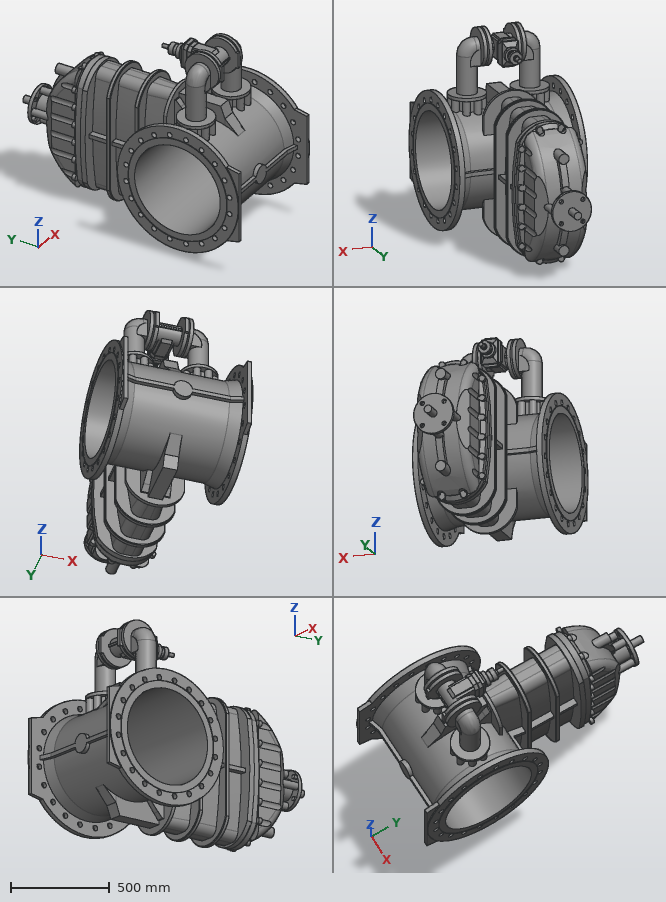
import cadquery as cq
import math


FACE_TO_FACE = 700
BORE_DIA = 508
RAISED_FACE_DIA = 585
RAISED_FACE_HEIGHT = 4
FLANGE_DIA = 715
FLANGE_THICKNESS = 29
BOLT_CIRCLE_DIA = 620
BOLT_HOLE_DIA = 28
BOLT_COUNT = 20
PIPE_OUTER_RADIUS = 263.5
PIPE_END_RADIUS = 281
PIPE_STRAIGHT_HALF = 251
FLANGE_OUTSIDE_X = FACE_TO_FACE / 2 - RAISED_FACE_HEIGHT
FLANGE_INSIDE_X = FLANGE_OUTSIDE_X - FLANGE_THICKNESS

FOOT_THICKNESS = 22
FOOT_HALF_HEIGHT = 201
FOOT_ROOT_HALF_HEIGHT = 217
FOOT_ROOT_Y = -284
PAD_DIA = 100
WEB_REACH = 284
WEB_THICKNESS = 22
WEB_END_REACH = WEB_REACH + PIPE_END_RADIUS - PIPE_OUTER_RADIUS

CHAMBER_HALF_HEIGHT = 356
CHAMBER_HALF_WIDTH = 106
CHAMBER_SHOULDER_X = 78
CHAMBER_SHOULDER_Z = 310
CHAMBER_FLAT_HALF = 24
CHAMBER_WEB_HALF = 141
CHAMBER_WEB_ROOT_HALF = 130
RIB_Y = (192, 359.5, 527)
NARROW_RIB_Y = RIB_Y[0]
STRAIGHT_FROM_Y = RIB_Y[1]
CHAMBER_RIB_SCALE = 80 / CHAMBER_HALF_WIDTH
NOSE_HALF_WIDTH = 79
NOSE_END_HALF_WIDTH = 66
NOSE_SIDE = ((192, 331), (176, 331), (150, 299), (105, 240))

RIB_HALF_WIDTH = 158.5
RIB_HALF_HEIGHT = 391.95
RIB_THICKNESS = 24
RIB_CHAMFER = 4
NARROW_RIB_HALF_WIDTH = 155
NARROW_RIB_THICKNESS = 18
ARC_START_Z = 272

GUIDE_TOP_Z = 353
GUIDE_HALF_WIDTH = 38
GUIDE_TIP_HALF_WIDTH = 30
GUIDE_TOP_END_Y = -65
GUIDE_NOSE = (-90, 286)
GUIDE_TIP = (-185, 184)

BODY_FLANGE_START_Y = 652
BODY_FLANGE_END_Y = 681
BODY_FLANGE_HALF_WIDTH = 178
FLANGE_SIDE_BOW = 22
BONNET_FLANGE_END_Y = 715
BONNET_FLANGE_HALF_WIDTH = 170
BONNET_FLANGE_HALF_HEIGHT = 370
DOME_BASE_HALF_HEIGHT = 345
DOME_BASE_Y = 735
SKIRT_HEIGHT = DOME_BASE_Y - BONNET_FLANGE_END_Y
SKIRT_INSET = 22
DOME_TOP_Y = 936
DOME_HALF_WIDTH = 141
DOME_EDGE_RADIUS = 45
DOME_BEVEL_START = (160, 851)
DOME_BEVEL_END = (84, 942)
RIDGE_HALF_WIDTH = 18
RIDGE_TOP = (948, 105)
RIDGE_MIDDLE = (920, 185)
RIDGE_FOOT_Y = 886
BONNET_BOLT_X = 156
BONNET_BOLT_PITCH = 103
BONNET_BOLT_ROWS = 6
BONNET_END_BOLT = (58, 348)
BONNET_BOLT_HEAD_DIA = 33
BONNET_BOLT_RECESS_DIA = 45
DOME_STUB_DIA = 55
DOME_STUB_Z = 243
DOME_STUB_END_Y = 922
DOME_STUB_START_Y = 800

MOUNT_DIA = 210
MOUNT_TOP_Y = 1037
MOUNT_THICKNESS = 20
MOUNT_HOLE_DIA = 22
MOUNT_HOLE_CIRCLE = 165
MOUNT_CORE_DIA = 116
MOUNT_COLUMN_DIA = 40
MOUNT_COLUMN_RADIUS = 85
MOUNT_COLUMN_START_Y = 880
STEM_DIA = 40
STEM_END_Y = 1118

BRANCH_X = 170
BRANCH_FLANGE_DIA = 200
BRANCH_FLANGE_TOP_Z = 341
BRANCH_FLANGE_THICKNESS = 18
BRANCH_NECK_DIA = 132
BRANCH_BOLT_CIRCLE = 160
BRANCH_BOSS_DIA = 40
BRANCH_BOSS_COUNT = 8
BRANCH_ROOT_Z = 200
BYPASS_AXIS_Z = 577
BYPASS_PIPE_DIA = 105
ELBOW_RADIUS = 33
ELBOW_BLOCK_HEIGHT = 85
ELBOW_BLOCK_TOP_X = 127

PIPE_FLANGE_X = (96, 115)
VALVE_FLANGE_X = (68, 87)
GASKET_DIA = 138
VALVE_PIPE_DIA = 100
VALVE_BODY_HALF_WIDTH = 42
VALVE_BODY_HALF_HEIGHT = 50
VALVE_RAIL_HALF_WIDTH = 28
VALVE_RAIL_HALF_HEIGHT = 62
VALVE_RAIL_TIP = (-26, 38)
VALVE_RIM_HALF_WIDTH = 53
VALVE_RIM_HALF_HEIGHT = 75
VALVE_RIM_CORNER = 22
VALVE_WEB_THICKNESS = 12
VALVE_WEB_REACH = 56
VALVE_FOOT_Y = -103
VALVE_FOOT_HALF_HEIGHT = 45
VALVE_LUG_START_Y = 106
VALVE_LUG_HALF_WIDTH = 48
VALVE_LUG_HALF_HEIGHT = 66
VALVE_BONNET_Y = (128, 149, 165, 182)
VALVE_BONNET_TOP_HALF_WIDTH = 26
VALVE_BONNET_TOP_HALF_HEIGHT = 38
VALVE_NECK_STEPS = ((182, 202, 40), (202, 224, 28), (224, 250, 33), (250, 264, 15))
VALVE_STEM_DIA = 22
VALVE_STEM_END_Y = 300.5


def round_y(x, z, diameter, start_y, end_y):
    """Cylinder along Y."""
    axis = cq.Vector(0, 1, 0)
    body = cq.Solid.makeCylinder(diameter / 2, end_y - start_y, cq.Vector(x, start_y, z), axis)
    return cq.Workplane(body)


def round_x(y, z, diameter, start_x, end_x):
    """Cylinder along X."""
    return cq.Workplane("YZ", origin=(start_x, y, z)).circle(diameter / 2).extrude(end_x - start_x)


def round_z(x, y, diameter, start_z, end_z):
    """Cylinder along Z."""
    return cq.Workplane("XY", origin=(x, y, start_z)).circle(diameter / 2).extrude(end_z - start_z)


def block(x_range, y_range, z_range):
    """Box between two limits on each axis."""
    sizes = [end - start for start, end in (x_range, y_range, z_range)]
    corner = (x_range[0], y_range[0], z_range[0])
    return cq.Workplane("XY", origin=corner).box(*sizes, centered=False)


def plane_facing_y(y, z=0):
    """Sketch plane at a given Y with local axes X and Z; negative extrusions go toward +Y."""
    return cq.Workplane("XZ", origin=(0, y, z))


def arched_outline(workplane, half_width, half_height, side_bow=0):
    """Outline closed by one arc at the top and one at the bottom; the sides may be bowed."""
    corner_x = half_width - side_bow
    outline = workplane.moveTo(corner_x, -ARC_START_Z)
    if side_bow:
        outline = outline.threePointArc((half_width, 0), (corner_x, ARC_START_Z))
    else:
        outline = outline.lineTo(corner_x, ARC_START_Z)
    outline = outline.threePointArc((0, half_height), (-corner_x, ARC_START_Z))
    if side_bow:
        outline = outline.threePointArc((-half_width, 0), (-corner_x, -ARC_START_Z))
    else:
        outline = outline.lineTo(-corner_x, -ARC_START_Z)
    return outline.threePointArc((0, -half_height), (corner_x, -ARC_START_Z)).close()


def arched_plate(half_width, half_height, start_y, end_y, side_bow=0):
    """Plate with an arched outline between two values of Y."""
    outline = arched_outline(plane_facing_y(start_y), half_width, half_height, side_bow)
    return outline.extrude(start_y - end_y)


def pipe_shell():
    """Outer pipe with conical ends, flanges and raised faces, turned about X."""
    half_profile = [
        (0, PIPE_OUTER_RADIUS),
        (PIPE_STRAIGHT_HALF, PIPE_OUTER_RADIUS),
        (FLANGE_INSIDE_X, PIPE_END_RADIUS),
        (FLANGE_INSIDE_X, FLANGE_DIA / 2),
        (FLANGE_OUTSIDE_X, FLANGE_DIA / 2),
        (FLANGE_OUTSIDE_X, RAISED_FACE_DIA / 2),
        (FACE_TO_FACE / 2, RAISED_FACE_DIA / 2),
        (FACE_TO_FACE / 2, 0),
        (0, 0),
    ]
    half = cq.Workplane("XY").polyline(half_profile).close().revolve(360, (0, 0, 0), (1, 0, 0))
    return half.union(half.mirror("YZ"))


def foot(side):
    """Flat foot on the -Y edge of one end flange."""
    inner_x = FLANGE_INSIDE_X if side > 0 else -FLANGE_INSIDE_X - FOOT_THICKNESS
    outline = [
        (0, -FOOT_ROOT_HALF_HEIGHT),
        (FOOT_ROOT_Y, -FOOT_ROOT_HALF_HEIGHT),
        (-FLANGE_DIA / 2, -FOOT_HALF_HEIGHT),
        (-FLANGE_DIA / 2, FOOT_HALF_HEIGHT),
        (FOOT_ROOT_Y, FOOT_ROOT_HALF_HEIGHT),
        (0, FOOT_ROOT_HALF_HEIGHT),
    ]
    return cq.Workplane("YZ", origin=(inner_x, 0, 0)).polyline(outline).close().extrude(FOOT_THICKNESS)


def middle_web():
    """Thin web in the plane Z = 0 that follows the pipe and the chamber sides."""
    pipe_outline = [
        (FLANGE_INSIDE_X, WEB_END_REACH),
        (PIPE_STRAIGHT_HALF, WEB_REACH),
        (-PIPE_STRAIGHT_HALF, WEB_REACH),
        (-FLANGE_INSIDE_X, WEB_END_REACH),
        (-FLANGE_INSIDE_X, -WEB_END_REACH),
        (-PIPE_STRAIGHT_HALF, -WEB_REACH),
        (PIPE_STRAIGHT_HALF, -WEB_REACH),
        (FLANGE_INSIDE_X, -WEB_END_REACH),
    ]
    chamber_outline = [
        (CHAMBER_WEB_ROOT_HALF, WEB_REACH),
        (CHAMBER_WEB_HALF, STRAIGHT_FROM_Y),
        (CHAMBER_WEB_HALF, BODY_FLANGE_START_Y),
        (-CHAMBER_WEB_HALF, BODY_FLANGE_START_Y),
        (-CHAMBER_WEB_HALF, STRAIGHT_FROM_Y),
        (-CHAMBER_WEB_ROOT_HALF, WEB_REACH),
    ]
    base = cq.Workplane("XY", origin=(0, 0, -WEB_THICKNESS / 2))
    along_pipe = base.polyline(pipe_outline).close().extrude(WEB_THICKNESS)
    along_chamber = base.polyline(chamber_outline).close().extrude(WEB_THICKNESS)
    return along_pipe.union(along_chamber)


def chamber_section(workplane, width_scale=1.0):
    """Closed chamber outline: bowed sides, rounded shoulders and flat ends."""
    side = CHAMBER_HALF_WIDTH * width_scale
    shoulder_x = CHAMBER_SHOULDER_X * width_scale
    flat = CHAMBER_FLAT_HALF * width_scale
    top = CHAMBER_HALF_HEIGHT
    shoulder_z = CHAMBER_SHOULDER_Z
    bulge = 1 - math.sqrt(0.5)
    mid_x = flat + (shoulder_x - flat) * math.sqrt(0.5)
    mid_z = top - (top - shoulder_z) * bulge
    return (
        workplane.moveTo(shoulder_x, -shoulder_z)
        .threePointArc((side, 0), (shoulder_x, shoulder_z))
        .threePointArc((mid_x, mid_z), (flat, top))
        .lineTo(-flat, top)
        .threePointArc((-mid_x, mid_z), (-shoulder_x, shoulder_z))
        .threePointArc((-side, 0), (-shoulder_x, -shoulder_z))
        .threePointArc((-mid_x, -mid_z), (-flat, -top))
        .lineTo(flat, -top)
        .threePointArc((mid_x, -mid_z), (shoulder_x, -shoulder_z))
        .close()
    )


def chamber():
    """Gate chamber: straight at the flange, narrowing toward the pipe."""
    straight = chamber_section(plane_facing_y(STRAIGHT_FROM_Y)).extrude(STRAIGHT_FROM_Y - BODY_FLANGE_START_Y)
    taper = chamber_section(plane_facing_y(STRAIGHT_FROM_Y)).workplane(offset=STRAIGHT_FROM_Y - NARROW_RIB_Y)
    taper = chamber_section(taper, CHAMBER_RIB_SCALE).loft(ruled=True)
    return straight.union(taper)


def chamber_nose():
    """Stepped end of the chamber where it dies into the pipe, above and below."""
    start_y = NOSE_SIDE[0][0]
    end_y = NOSE_SIDE[-1][0]
    side_outline = [(start_y, 0), *NOSE_SIDE, (end_y, 0)]
    plan_outline = [
        (-NOSE_HALF_WIDTH, start_y),
        (-NOSE_END_HALF_WIDTH, end_y),
        (NOSE_END_HALF_WIDTH, end_y),
        (NOSE_HALF_WIDTH, start_y),
    ]
    side = cq.Workplane("YZ").polyline(side_outline).close().extrude(NOSE_HALF_WIDTH, both=True)
    plan = cq.Workplane("XY").polyline(plan_outline).close().extrude(CHAMBER_HALF_HEIGHT)
    upper = side.intersect(plan)
    return upper.union(upper.mirror("XY"))


def chamber_ribs():
    """Three arched ribs around the chamber, the one at the pipe slightly smaller."""
    half = NARROW_RIB_THICKNESS / 2
    ribs = arched_plate(NARROW_RIB_HALF_WIDTH, RIB_HALF_HEIGHT, NARROW_RIB_Y - half, NARROW_RIB_Y + half)
    for y in RIB_Y[1:]:
        rib = arched_plate(RIB_HALF_WIDTH, RIB_HALF_HEIGHT, y - RIB_THICKNESS / 2, y + RIB_THICKNESS / 2)
        ribs = ribs.union(rib.faces("<Y or >Y").chamfer(RIB_CHAMFER))
    return ribs


def guide_housings():
    """Housings of the gate guides, above and below the pipe."""
    side_outline = [
        (NARROW_RIB_Y, 0),
        (NARROW_RIB_Y, GUIDE_TOP_Z),
        (GUIDE_TOP_END_Y, GUIDE_TOP_Z),
        GUIDE_NOSE,
        GUIDE_TIP,
        (GUIDE_TIP[0], 0),
    ]
    plan_outline = [
        (-GUIDE_HALF_WIDTH, NARROW_RIB_Y),
        (-GUIDE_HALF_WIDTH, GUIDE_NOSE[0]),
        (-GUIDE_TIP_HALF_WIDTH, GUIDE_TIP[0]),
        (GUIDE_TIP_HALF_WIDTH, GUIDE_TIP[0]),
        (GUIDE_HALF_WIDTH, GUIDE_NOSE[0]),
        (GUIDE_HALF_WIDTH, NARROW_RIB_Y),
    ]
    profile = cq.Workplane("YZ").polyline(side_outline).close().extrude(GUIDE_HALF_WIDTH, both=True)
    plan = cq.Workplane("XY").polyline(plan_outline).close().extrude(GUIDE_TOP_Z)
    upper = profile.intersect(plan)
    return upper.union(upper.mirror("XY"))


def bonnet_bolt_places():
    """X and Z of the bonnet bolts: a row along each side and two at each end."""
    middle = (BONNET_BOLT_ROWS - 1) / 2
    rows = [(index - middle) * BONNET_BOLT_PITCH for index in range(BONNET_BOLT_ROWS)]
    sides = [(side * BONNET_BOLT_X, z) for side in (-1, 1) for z in rows]
    end_x, end_z = BONNET_END_BOLT
    ends = [(x, z) for x in (-end_x, end_x) for z in (-end_z, end_z)]
    return sides + ends


def bonnet_flanges():
    """Body flange, and the bonnet flange with its sloping skirt and bolt heads."""
    height = BONNET_FLANGE_HALF_HEIGHT
    body = arched_plate(
        BODY_FLANGE_HALF_WIDTH, height, BODY_FLANGE_START_Y, BODY_FLANGE_END_Y, FLANGE_SIDE_BOW
    )
    width = BONNET_FLANGE_HALF_WIDTH
    bonnet = arched_plate(width, height, BODY_FLANGE_END_Y, BONNET_FLANGE_END_Y, FLANGE_SIDE_BOW)
    skirt = arched_outline(plane_facing_y(BONNET_FLANGE_END_Y), width, height, FLANGE_SIDE_BOW)
    skirt = skirt.workplane(offset=-SKIRT_HEIGHT)
    skirt = arched_outline(skirt, width - SKIRT_INSET, height - SKIRT_INSET, FLANGE_SIDE_BOW).loft(ruled=True)
    flanges = body.union(bonnet).union(skirt)
    for x, z in bonnet_bolt_places():
        flanges = flanges.union(round_y(x, z, BONNET_BOLT_HEAD_DIA, BONNET_FLANGE_END_Y, DOME_BASE_Y))
    return flanges


def dome():
    """Bonnet dome with rounded edges, bolt recesses, centre ridge and two stubs."""
    body = (
        cq.Workplane("YZ")
        .moveTo(DOME_BASE_Y, -DOME_BASE_HALF_HEIGHT)
        .threePointArc((DOME_TOP_Y, 0), (DOME_BASE_Y, DOME_BASE_HALF_HEIGHT))
        .close()
        .extrude(DOME_HALF_WIDTH, both=True)
        .faces("<X or >X")
        .edges("not <Y")
        .fillet(DOME_EDGE_RADIUS)
    )
    wide_x, low_y = DOME_BEVEL_START
    narrow_x, high_y = DOME_BEVEL_END
    plan_outline = [
        (wide_x, DOME_BASE_Y),
        (wide_x, low_y),
        (narrow_x, high_y),
        (-narrow_x, high_y),
        (-wide_x, low_y),
        (-wide_x, DOME_BASE_Y),
    ]
    plan = cq.Workplane("XY").polyline(plan_outline).close().extrude(BONNET_FLANGE_HALF_HEIGHT, both=True)
    body = body.intersect(plan)
    for x, z in bonnet_bolt_places():
        body = body.cut(round_y(x, z, BONNET_BOLT_RECESS_DIA, DOME_BASE_Y, DOME_TOP_Y))
    ridge_y, ridge_z = RIDGE_TOP
    middle_y, middle_z = RIDGE_MIDDLE
    ridge = (
        cq.Workplane("YZ")
        .moveTo(DOME_STUB_START_Y, -DOME_STUB_Z)
        .lineTo(RIDGE_FOOT_Y, -DOME_STUB_Z)
        .threePointArc((middle_y, -middle_z), (ridge_y, -ridge_z))
        .lineTo(ridge_y, ridge_z)
        .threePointArc((middle_y, middle_z), (RIDGE_FOOT_Y, DOME_STUB_Z))
        .lineTo(DOME_STUB_START_Y, DOME_STUB_Z)
        .close()
        .extrude(RIDGE_HALF_WIDTH, both=True)
    )
    body = body.union(ridge)
    for z in (-DOME_STUB_Z, DOME_STUB_Z):
        body = body.union(round_y(0, z, DOME_STUB_DIA, DOME_STUB_START_Y, DOME_STUB_END_Y))
    return body


def actuator_mount():
    """Drilled mounting flange on a core and four columns, with the stem end."""
    underside = MOUNT_TOP_Y - MOUNT_THICKNESS
    mount = round_y(0, 0, MOUNT_DIA, underside, MOUNT_TOP_Y)
    for index in range(4):
        angle = math.radians(45 + 90 * index)
        x = MOUNT_HOLE_CIRCLE / 2 * math.cos(angle)
        z = MOUNT_HOLE_CIRCLE / 2 * math.sin(angle)
        mount = mount.cut(round_y(x, z, MOUNT_HOLE_DIA, underside, MOUNT_TOP_Y))
    mount = mount.union(round_y(0, 0, MOUNT_CORE_DIA, MOUNT_COLUMN_START_Y, underside))
    for index in range(4):
        angle = math.radians(90 * index)
        x = MOUNT_COLUMN_RADIUS * math.cos(angle)
        z = MOUNT_COLUMN_RADIUS * math.sin(angle)
        mount = mount.union(round_y(x, z, MOUNT_COLUMN_DIA, MOUNT_COLUMN_START_Y, underside))
    return mount.union(round_y(0, 0, STEM_DIA, underside, STEM_END_Y))


def left_branch():
    """Bypass branch on the -X side: bossed flange, riser, elbow and pipe flange."""
    x = -BRANCH_X
    flange_underside = BRANCH_FLANGE_TOP_Z - BRANCH_FLANGE_THICKNESS
    branch = round_z(x, 0, BRANCH_FLANGE_DIA, flange_underside, BRANCH_FLANGE_TOP_Z)
    branch = branch.union(round_z(x, 0, BRANCH_NECK_DIA, BRANCH_ROOT_Z, flange_underside))
    for index in range(BRANCH_BOSS_COUNT):
        angle = math.radians((index + 0.5) * 360 / BRANCH_BOSS_COUNT)
        boss_x = x + BRANCH_BOLT_CIRCLE / 2 * math.cos(angle)
        boss_y = BRANCH_BOLT_CIRCLE / 2 * math.sin(angle)
        branch = branch.union(round_z(boss_x, boss_y, BRANCH_BOSS_DIA, BRANCH_ROOT_Z, flange_underside))

    outer_x = -PIPE_FLANGE_X[1]
    bend_z = BYPASS_AXIS_Z - ELBOW_RADIUS
    riser = round_z(x, 0, BYPASS_PIPE_DIA, BRANCH_FLANGE_TOP_Z, bend_z)
    level = round_x(0, BYPASS_AXIS_Z, BYPASS_PIPE_DIA, x + ELBOW_RADIUS, outer_x)
    half = BYPASS_PIPE_DIA / 2
    chord = math.sqrt(half**2 - ELBOW_RADIUS**2)
    bend = (
        cq.Workplane("XY", origin=(x, 0, bend_z))
        .moveTo(ELBOW_RADIUS, -chord)
        .threePointArc((-half, 0), (ELBOW_RADIUS, chord))
        .close()
        .revolve(90, (ELBOW_RADIUS, 0, 0), (ELBOW_RADIUS, 1, 0))
    )
    block_bottom = BYPASS_AXIS_Z - ELBOW_BLOCK_HEIGHT
    bend_share = math.sqrt(0.5)
    arc_middle = (
        ELBOW_BLOCK_TOP_X - (ELBOW_BLOCK_TOP_X - BRANCH_X) * bend_share,
        block_bottom + ELBOW_BLOCK_HEIGHT * bend_share,
    )
    filler = (
        cq.Workplane("XZ")
        .moveTo(x, block_bottom)
        .threePointArc((-arc_middle[0], arc_middle[1]), (-ELBOW_BLOCK_TOP_X, BYPASS_AXIS_Z))
        .lineTo(outer_x, BYPASS_AXIS_Z)
        .lineTo(outer_x, block_bottom)
        .close()
        .extrude(half, both=True)
    )
    branch = branch.union(riser).union(level).union(bend).union(filler)

    inner_x = -PIPE_FLANGE_X[0]
    return branch.union(round_x(0, BYPASS_AXIS_Z, BRANCH_FLANGE_DIA, outer_x, inner_x))


def valve_block(half_width, half_height, start_y, end_y):
    """Plain block centred on the bypass valve."""
    return block(
        (-half_width, half_width),
        (start_y, end_y),
        (BYPASS_AXIS_Z - half_height, BYPASS_AXIS_Z + half_height),
    )


def valve_plate(half_width, half_height, corner, start_y, end_y):
    """Chamfered-corner plate of the bypass valve bonnet."""
    return valve_block(half_width, half_height, start_y, end_y).edges("|Y").chamfer(corner)


def bypass_valve():
    """Small gate valve between the two branches, its stem toward +Y."""
    inner, outer = VALVE_FLANGE_X
    valve = round_x(0, BYPASS_AXIS_Z, VALVE_PIPE_DIA, -outer, outer)
    foot_z = (BYPASS_AXIS_Z - VALVE_FOOT_HALF_HEIGHT, BYPASS_AXIS_Z + VALVE_FOOT_HALF_HEIGHT)
    for side in (-1, 1):
        start, end = sorted((side * inner, side * outer))
        valve = valve.union(round_x(0, BYPASS_AXIS_Z, BRANCH_FLANGE_DIA, start, end))
        valve = valve.union(block((start, end), (VALVE_FOOT_Y, 0), foot_z))
        start, end = sorted((side * outer, side * PIPE_FLANGE_X[0]))
        valve = valve.union(round_x(0, BYPASS_AXIS_Z, GASKET_DIA, start, end))
    rim_start, rim_end, rim_back, cone_end = VALVE_BONNET_Y
    valve = valve.union(valve_block(VALVE_BODY_HALF_WIDTH, VALVE_BODY_HALF_HEIGHT, 0, rim_start))
    rail_tip_y, rail_tip_z = VALVE_RAIL_TIP
    rail_outline = [
        (rim_start, -VALVE_RAIL_HALF_HEIGHT),
        (0, -VALVE_RAIL_HALF_HEIGHT),
        (rail_tip_y, -rail_tip_z),
        (rail_tip_y, rail_tip_z),
        (0, VALVE_RAIL_HALF_HEIGHT),
        (rim_start, VALVE_RAIL_HALF_HEIGHT),
    ]
    rail = cq.Workplane("YZ", origin=(0, 0, BYPASS_AXIS_Z)).polyline(rail_outline).close()
    valve = valve.union(rail.extrude(VALVE_RAIL_HALF_WIDTH, both=True))
    valve = valve.union(
        valve_plate(
            VALVE_LUG_HALF_WIDTH, VALVE_LUG_HALF_HEIGHT, VALVE_RIM_CORNER, VALVE_LUG_START_Y, rim_start
        )
    )
    valve = valve.union(valve_block(inner, VALVE_WEB_THICKNESS / 2, -VALVE_WEB_REACH, VALVE_WEB_REACH))
    valve = valve.union(
        valve_plate(VALVE_RIM_HALF_WIDTH, VALVE_RIM_HALF_HEIGHT, VALVE_RIM_CORNER, rim_start, rim_end)
    )
    bonnet = (
        plane_facing_y(rim_end, BYPASS_AXIS_Z)
        .rect(2 * VALVE_BODY_HALF_WIDTH, 2 * VALVE_RIM_HALF_HEIGHT - VALVE_RIM_CORNER)
        .extrude(rim_end - rim_back)
    )
    cone = (
        plane_facing_y(rim_back, BYPASS_AXIS_Z)
        .rect(2 * VALVE_BODY_HALF_WIDTH, 2 * VALVE_RIM_HALF_HEIGHT - VALVE_RIM_CORNER)
        .workplane(offset=rim_back - cone_end)
        .rect(2 * VALVE_BONNET_TOP_HALF_WIDTH, 2 * VALVE_BONNET_TOP_HALF_HEIGHT)
        .loft(ruled=True)
    )
    valve = valve.union(bonnet).union(cone)
    for start_y, end_y, radius in VALVE_NECK_STEPS:
        valve = valve.union(round_y(0, BYPASS_AXIS_Z, 2 * radius, start_y, end_y))
    stem_start = VALVE_NECK_STEPS[-1][1]
    return valve.union(round_y(0, BYPASS_AXIS_Z, VALVE_STEM_DIA, stem_start, VALVE_STEM_END_Y))


def bore_and_bolt_holes():
    """Through bore and the bolt circle shared by both end flanges."""
    start = -FACE_TO_FACE / 2
    bore = round_x(0, 0, BORE_DIA, start, -start)
    plane = cq.Workplane("YZ")
    bolts = plane.polarArray(BOLT_CIRCLE_DIA / 2, 180 / BOLT_COUNT, 360, BOLT_COUNT).circle(BOLT_HOLE_DIA / 2)
    left = bolts.extrude(start)
    left = left.intersect(block((start, -FLANGE_INSIDE_X), (-FLANGE_DIA, FLANGE_DIA), (-FLANGE_DIA, FLANGE_DIA)))
    return bore, left, left.mirror("YZ")


body = pipe_shell().union(foot(-1)).union(foot(1)).union(middle_web())
body = body.union(round_y(0, 0, PAD_DIA, -WEB_REACH, 0))
body = body.union(chamber()).union(chamber_nose()).union(chamber_ribs()).union(guide_housings())
body = body.union(bonnet_flanges()).union(dome()).union(actuator_mount())

branch = left_branch()
body = body.union(branch).union(branch.mirror("YZ")).union(bypass_valve())
for hole in bore_and_bolt_holes():
    body = body.cut(hole)

result = body